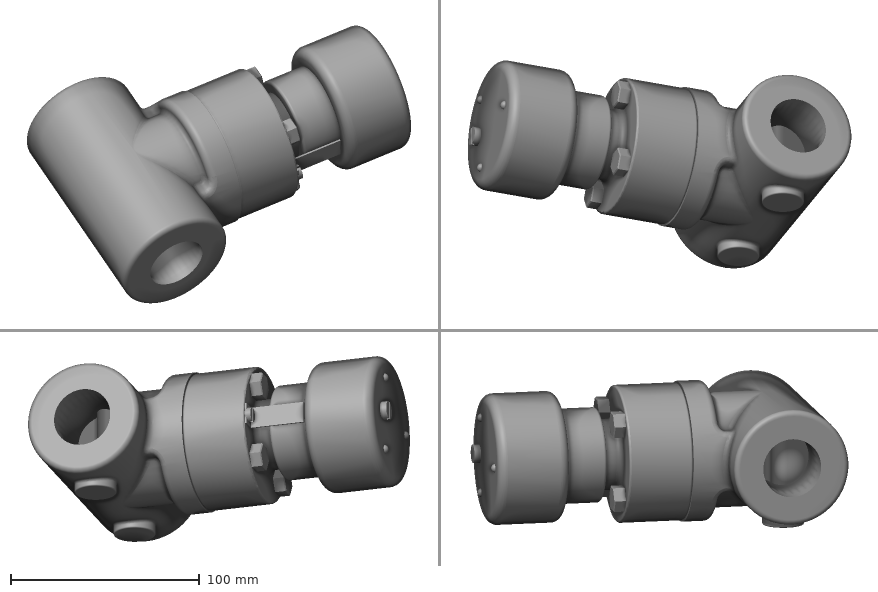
import cadquery as cq
import math


overall_length = 188.6

pipe_length = 112.6
pipe_radius = 31.0
pipe_end_round = 2.8
bore_mouth_radius = 15.7
bore_radius = 15.3
bore_taper_depth = 20.0
bore_near_depth = 30.2
bore_step_y = 3.5
bore_near_round = 7.2
bore_far_round = 3.2

flange_radius = 37.3
flange_bottom = 34.3
flange_top = 49.2
flange_round = 3.8
neck_radius = 30.5
neck_round = 2.6
shoulder_half_height = 16.0
shoulder_corner_round = 4.1
pipe_blend = 2.8

foot_radius = 11.1
foot_offset = 33.2
foot_bottom = -34.7
foot_height = 15.0
foot_edge_round = 0.8
foot_blend = 1.3

bonnet_radius = 36.5
bonnet_top = 83.8
bonnet_round = 1.1
stem_radius = 18.9
stem_root_round = 3.4
collar_radius = 25.3
collar_bottom = 93.5
collar_round = 1.5
head_radius = 34.9
head_bottom = 115.5
head_top = 154.1
head_round = 4.9

bolt_offset = 20.0
bolt_across_flats = 12.8
bolt_height = 6.2
bolt_chamfer = 0.5

plate_thickness = 1.0
plate_width = 11.3
plate_sink = 0.4
plate_inner_x = 26.5
plate_top = 114.0
bracket_reach = 35.0
pointer_screw_x = 31.7
pointer_screw_radius = 4.0
pointer_screw_height = 2.3

head_screw_x = 15.7
head_screw_radius = 4.9
head_screw_height = overall_length - pipe_radius - head_top
screw_slot_width = 1.1
screw_slot_depth = 1.5
rivet_circle_radius = 23.4
rivet_radius = 2.3
rivet_height = 1.9
rivet_count = 3

tolerance = 0.02
sink = 1.0


def along_y(x, z, start, end):
    """Workplane facing +Y at height `start`, centred on (x, z), and the distance to `end`."""
    plane = cq.Plane(origin=(x, start, z), xDir=(1, 0, 0), normal=(0, 1, 0))
    return cq.Workplane(plane), end - start


def disc(radius, start, end, x=0, z=0):
    plane, length = along_y(x, z, start, end)
    return plane.circle(radius).extrude(length)


def is_at(distance, target):
    return math.isclose(distance, target, abs_tol=tolerance)


def make_pipe():
    pipe = cq.Workplane("YZ").circle(pipe_radius).extrude(pipe_length / 2, both=True)
    return pipe.faces("<X or >X").edges().fillet(pipe_end_round)


def is_relief_rim(edge):
    """True for the outer edges left by the reliefs."""
    on_outside = all(is_at(math.hypot(v.X, v.Z), flange_radius) for v in edge.Vertices())
    top = edge.BoundingBox().ymax
    height = top - edge.BoundingBox().ymin
    above_start = top > tolerance
    below_flange = top < flange_bottom + tolerance
    return on_outside and above_start and below_flange and height < flange_bottom


def make_flange():
    """Flange relieved above and below, leaving two shoulders that run down into the pipe."""
    flange = disc(flange_radius, 0, flange_top)
    relief_height = flange_radius
    for side in (1, -1):
        relief = (
            cq.Workplane("XY")
            .box(3 * flange_radius, 2 * flange_bottom, relief_height)
            .translate((0, 0, side * (shoulder_half_height + relief_height / 2)))
            .edges("|X")
            .fillet(shoulder_corner_round)
        )
        flange = flange.cut(relief)

    rim = [edge for edge in flange.edges().vals() if is_relief_rim(edge)]
    return flange.newObject(rim).fillet(flange_round)


def is_neck_root(edge):
    """True for the edges where the neck meets the flange and its shoulders."""
    on_neck = all(is_at(math.hypot(v.X, v.Z), neck_radius) for v in edge.Vertices())
    return on_neck and edge.BoundingBox().ymax > tolerance


def is_pipe_seam(edge):
    """True for the curved edges where the flange and neck run into the pipe."""
    on_pipe = all(is_at(math.hypot(v.Y, v.Z), pipe_radius) for v in edge.Vertices())
    return on_pipe and edge.geomType() != "LINE" and abs(edge.Center().x) < flange_radius + pipe_blend


def make_body():
    body = make_flange().union(disc(neck_radius, 0, flange_bottom + sink))
    root = [edge for edge in body.edges().vals() if is_neck_root(edge)]
    body = body.newObject(root).fillet(neck_round)

    body = body.union(make_pipe())
    seam = [edge for edge in body.edges().vals() if is_pipe_seam(edge)]
    return body.newObject(seam).fillet(pipe_blend)


def is_foot_seam(edge):
    """True for the edge where a foot runs into the pipe."""
    on_foot = all(
        is_at(math.hypot(abs(v.X) - foot_offset, v.Y), foot_radius)
        for v in edge.Vertices()
    )
    return on_foot and edge.geomType() not in ("LINE", "CIRCLE")


def add_feet(body):
    for x in (-foot_offset, foot_offset):
        foot = cq.Workplane("XY", origin=(x, 0, foot_bottom)).circle(foot_radius).extrude(foot_height)
        foot = foot.faces("<Z").edges().fillet(foot_edge_round)
        body = body.union(foot)
    seam = [edge for edge in body.edges().vals() if is_foot_seam(edge)]
    return body.newObject(seam).fillet(foot_blend)


def make_bore():
    """Blind tapered bore entering at -X; its floor steps in through an S of two arcs."""
    mouth = -pipe_length / 2
    taper_end = mouth + bore_taper_depth
    near_floor = mouth + bore_near_depth
    step_x = near_floor + bore_near_round
    far_floor = step_x + bore_far_round

    bore = (
        cq.Workplane("XY")
        .moveTo(mouth, 0)
        .lineTo(mouth, bore_mouth_radius)
        .lineTo(taper_end, bore_radius)
        .lineTo(far_floor, bore_radius)
        .lineTo(far_floor, 0)
        .close()
        .revolve(360, (0, 0, 0), (1, 0, 0))
    )
    reach = 2 * bore_radius
    floor_shape = (
        cq.Workplane("XY")
        .moveTo(mouth, -reach)
        .lineTo(near_floor, -reach)
        .lineTo(near_floor, bore_step_y - bore_near_round)
        .radiusArc((step_x, bore_step_y), bore_near_round)
        .radiusArc((far_floor, bore_step_y + bore_far_round), -bore_far_round)
        .lineTo(far_floor, reach)
        .lineTo(mouth, reach)
        .close()
        .extrude(reach, both=True)
    )
    return bore.intersect(floor_shape)


def make_bonnet():
    bonnet = disc(bonnet_radius, flange_top, bonnet_top)
    return bonnet.faces("<Y or >Y").edges().fillet(bonnet_round)


def make_stem():
    """Stem with a flared root, the collar above it and the rounded head."""
    root = stem_root_round
    stem = (
        cq.Workplane("XY")
        .moveTo(0, bonnet_top - sink)
        .lineTo(stem_radius + root, bonnet_top - sink)
        .lineTo(stem_radius + root, bonnet_top)
        .radiusArc((stem_radius, bonnet_top + root), root)
        .lineTo(stem_radius, collar_bottom + sink)
        .lineTo(0, collar_bottom + sink)
        .close()
        .revolve(360, (0, 0, 0), (0, 1, 0))
    )
    collar = disc(collar_radius, collar_bottom, head_bottom + sink)
    collar = collar.faces("<Y").edges().fillet(collar_round)
    head = disc(head_radius, head_bottom, head_top)
    head = head.faces("<Y or >Y").edges().fillet(head_round)
    return stem.union(collar).union(head)


def make_bolt(x, z):
    """Hexagon bolt head with two corners pointing along X."""
    across_corners = bolt_across_flats / math.cos(math.pi / 6)
    plane, length = along_y(x, z, bonnet_top - sink, bonnet_top + bolt_height)
    bolt = plane.polygon(6, across_corners).extrude(length)
    return bolt.faces(">Y").edges().chamfer(bolt_chamfer)


def make_slotted_screw(x, radius, base, height):
    """Cheese-head screw with its slot along Z."""
    top = base + height
    screw = disc(radius, base - sink, top, x=x)
    slot = cq.Workplane("XY").box(screw_slot_width, 2 * screw_slot_depth, 3 * radius)
    return screw.cut(slot.translate((x, top, 0)))


def make_pointer():
    """Thin L-shaped bracket standing on the bonnet, held by one screw."""
    base = bonnet_top - plate_sink
    foot_top = bonnet_top + plate_thickness
    bracket = (
        cq.Workplane("XY")
        .moveTo(plate_inner_x, base)
        .lineTo(bracket_reach, base)
        .lineTo(bracket_reach, foot_top)
        .lineTo(plate_inner_x + plate_thickness, foot_top)
        .lineTo(plate_inner_x + plate_thickness, plate_top)
        .lineTo(plate_inner_x, plate_top)
        .close()
        .extrude(plate_width / 2, both=True)
    )
    screw = make_slotted_screw(pointer_screw_x, pointer_screw_radius, foot_top, pointer_screw_height)
    return bracket.union(screw)


def make_rivet(angle):
    """Shallow domed rivet on the head's end face."""
    dome_radius = (rivet_radius**2 + rivet_height**2) / (2 * rivet_height)
    x = rivet_circle_radius * math.cos(angle)
    z = rivet_circle_radius * math.sin(angle)
    dome_centre = head_top + rivet_height - dome_radius
    return cq.Workplane("XY").sphere(dome_radius).translate((x, dome_centre, z))


result = add_feet(make_body())
result = result.cut(make_bore())
result = result.cut(make_bore().rotate((0, 0, 0), (0, 0, 1), 180))

result = result.union(make_bonnet()).union(make_stem())
for bolt_x in (-bolt_offset, bolt_offset):
    for bolt_z in (-bolt_offset, bolt_offset):
        result = result.union(make_bolt(bolt_x, bolt_z))
result = result.union(make_pointer())
result = result.union(make_slotted_screw(head_screw_x, head_screw_radius, head_top, head_screw_height))
for index in range(rivet_count):
    result = result.union(make_rivet(math.pi + index * 2 * math.pi / rivet_count))